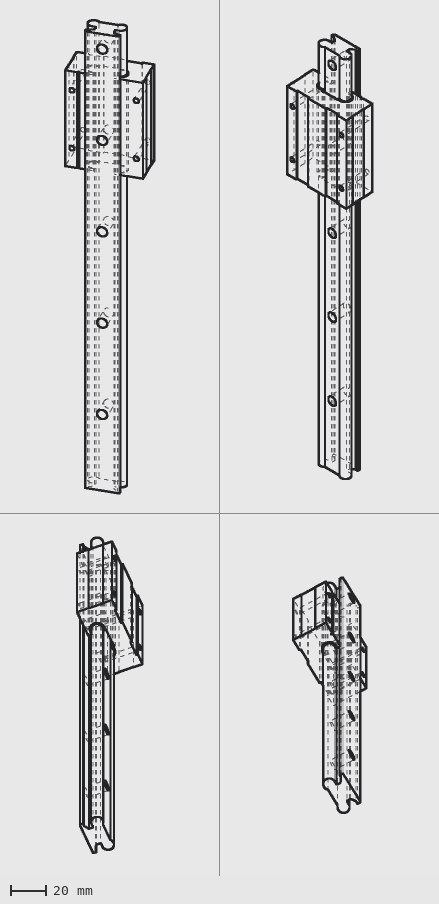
import cadquery as cq

LINER_RADIUS = 4.2
LINER_THICKNESS = 0.75
LINER_BACK_END_X = 6.0
LINER_FRONT_END_X = 7.2

RAIL_LENGTH = 300.0
FOOT_HALF_WIDTH = 10.2
FOOT_FILLET = 0.5
FOOT_TOP = 2.0
FLARE_HALF_WIDTH = 8.5
FLARE_TOP = 4.0
WEB_HALF_WIDTH = 5.7
WEB_TOP = 12.3
RUNNER_RADIUS = LINER_RADIUS - LINER_THICKNESS
RUNNER_X = 8.0
RUNNER_Y = 10.0
RUNNER_BOTTOM = RUNNER_Y - RUNNER_RADIUS
RAIL_HOLE_DIAMETER = 6.0
RAIL_HOLE_COUNT = 5
RAIL_HOLE_PITCH = RAIL_LENGTH / RAIL_HOLE_COUNT
RAIL_HOLE_TOP_OFFSET = 10.0

CARRIAGE_WIDTH = 46.0
HALF_WIDTH = CARRIAGE_WIDTH / 2
CARRIAGE_LENGTH = 63.0
CARRIAGE_FRONT = 3.5
CARRIAGE_BACK = 25.0
CARRIAGE_TOP_OFFSET = 30.0
CARRIAGE_BOTTOM = RAIL_LENGTH - CARRIAGE_TOP_OFFSET - CARRIAGE_LENGTH
CARRIAGE_MIDDLE = CARRIAGE_BOTTOM + CARRIAGE_LENGTH / 2
WEB_CLEARANCE = 0.5
MOUNT_HOLE_DIAMETER = 3.0
MOUNT_HOLE_PITCH = 38.0
SLOT_CEILING = 14.5
BACK_GROOVE_X = 11.5
BACK_GROOVE_DEPTH = 1.0
BACK_GROOVE_WIDTH = 9.0
SIDE_GROOVE_DEPTH = 0.15
SIDE_GROOVE_FRONT = 10.5
SIDE_GROOVE_BACK = 19.5
MARK_GROOVE_X = -15.3
MARK_GROOVE_WIDTH = 1.5
MARK_GROOVE_DEPTH = 1.0


def carriage_block(x_min, x_max, y_min, y_max):
    """A box between the given X and Y limits, as long as the carriage."""
    corner = (x_min, y_min, CARRIAGE_BOTTOM)
    size = (x_max - x_min, y_max - y_min, CARRIAGE_LENGTH)
    return cq.Workplane("XY", origin=corner).box(*size, centered=False)


def carriage_rod(x, radius):
    """A round bar around a runner's axis, as long as the carriage."""
    return cq.Workplane("XY", origin=(x, RUNNER_Y, CARRIAGE_BOTTOM)).circle(radius).extrude(CARRIAGE_LENGTH)


def holes_along_y(points, diameter):
    """Round cutters through the whole depth at the given (x, z) points."""
    return (
        cq.Workplane("XZ", origin=(0, CARRIAGE_BACK, 0))
        .pushPoints(points)
        .circle(diameter / 2)
        .extrude(CARRIAGE_BACK)
    )


def make_rail():
    half_outline = [
        (FOOT_HALF_WIDTH, 0),
        (FOOT_HALF_WIDTH, FOOT_TOP),
        (FLARE_HALF_WIDTH, FOOT_TOP),
        (WEB_HALF_WIDTH, FLARE_TOP),
        (WEB_HALF_WIDTH, RUNNER_BOTTOM),
        (RUNNER_X, RUNNER_BOTTOM),
        (RUNNER_X, WEB_TOP),
    ]
    other_half = [(-x, y) for x, y in reversed(half_outline)]
    rail = cq.Workplane("XY").polyline(half_outline + other_half).close().extrude(RAIL_LENGTH)
    rail = rail.edges("|Z and <Y").fillet(FOOT_FILLET)
    for side in (-1, 1):
        runner = cq.Workplane("XY").center(side * RUNNER_X, RUNNER_Y).circle(RUNNER_RADIUS)
        rail = rail.union(runner.extrude(RAIL_LENGTH))
    top_hole = RAIL_LENGTH - RAIL_HOLE_TOP_OFFSET
    points = [(0, top_hole - i * RAIL_HOLE_PITCH) for i in range(RAIL_HOLE_COUNT)]
    return rail.cut(holes_along_y(points, RAIL_HOLE_DIAMETER))


def lips():
    """The front edges of the carriage that reach under the runners, across the web's gap."""
    return carriage_block(-LINER_FRONT_END_X, LINER_FRONT_END_X, 0, RUNNER_BOTTOM)


def carriage_slot():
    """The passage for the rail and its liners: a round-ended channel open to the front."""
    half_neck = WEB_HALF_WIDTH + WEB_CLEARANCE
    slot = carriage_block(-LINER_BACK_END_X, LINER_BACK_END_X, RUNNER_BOTTOM, SLOT_CEILING)
    for side in (-1, 1):
        slot = slot.union(carriage_rod(side * RUNNER_X, LINER_RADIUS).cut(lips()))
    return slot.union(carriage_block(-half_neck, half_neck, 0, RUNNER_BOTTOM))


def back_groove(side):
    """A shallow flat groove along the back face."""
    middle = side * BACK_GROOVE_X
    reach = BACK_GROOVE_WIDTH / 2
    return carriage_block(middle - reach, middle + reach, CARRIAGE_BACK - BACK_GROOVE_DEPTH, CARRIAGE_BACK)


def side_groove(side):
    """A very shallow flat groove along one side face."""
    x_min, x_max = sorted((side * (HALF_WIDTH - SIDE_GROOVE_DEPTH), side * HALF_WIDTH))
    return carriage_block(x_min, x_max, SIDE_GROOVE_FRONT, SIDE_GROOVE_BACK)


def mark_groove():
    """A small V groove along the front face, on the -X side only."""
    outline = [
        (MARK_GROOVE_X - MARK_GROOVE_WIDTH / 2, CARRIAGE_FRONT),
        (MARK_GROOVE_X, CARRIAGE_FRONT + MARK_GROOVE_DEPTH),
        (MARK_GROOVE_X + MARK_GROOVE_WIDTH / 2, CARRIAGE_FRONT),
    ]
    plane = cq.Workplane("XY", origin=(0, 0, CARRIAGE_BOTTOM))
    return plane.polyline(outline).close().extrude(CARRIAGE_LENGTH)


def make_carriage():
    carriage = carriage_block(-HALF_WIDTH, HALF_WIDTH, CARRIAGE_FRONT, CARRIAGE_BACK)
    carriage = carriage.cut(carriage_slot()).cut(mark_groove())
    for side in (-1, 1):
        carriage = carriage.cut(back_groove(side)).cut(side_groove(side))
    reach = MOUNT_HOLE_PITCH / 2
    points = [(i * reach, CARRIAGE_MIDDLE + k * reach) for i in (-1, 1) for k in (-1, 1)]
    return carriage.cut(holes_along_y(points, MOUNT_HOLE_DIAMETER))


def make_liner(side):
    """The liner around the runner on one side: -1 for -X, 1 for +X."""
    x = side * RUNNER_X
    ring = carriage_rod(x, LINER_RADIUS).cut(carriage_rod(x, RUNNER_RADIUS))
    back_opening = carriage_block(-LINER_BACK_END_X, LINER_BACK_END_X, RUNNER_Y, CARRIAGE_BACK)
    rail_head = carriage_block(-RUNNER_X, RUNNER_X, RUNNER_BOTTOM, RUNNER_Y)
    return ring.cut(back_opening).cut(rail_head).cut(lips())


rail = make_rail()
carriage = make_carriage()
liners = [make_liner(side) for side in (-1, 1)]
result = cq.Compound.makeCompound([rail.val(), carriage.val(), *[liner.val() for liner in liners]])